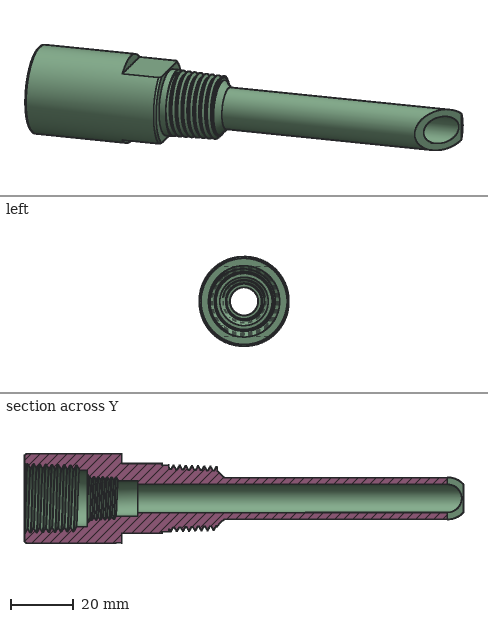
import math

import cadquery as cq

total_length = 139.7
body_length = 43.8
nipple_end = 63.5

body_diameter = 28.575
rear_chamfer = 0.6
front_chamfer_length = 0.7
front_chamfer_depth = 0.5
across_flats = 22.225
flat_length = 12.8

thread_pitch = 1.954
neck_diameter = 21.34
neck_length = 2.2
taper = 1 / 32
crest_diameter = 21.3
thread_depth = 1.25
ridge_base = 1.55
crest_flat = 0.15
first_crest = 44.55
nipple_turns = 9.25
overlap = 0.2

tube_diameter = 13.46
tube_bore = 8.89
cut_angle = 45.0
tip_offset = 5.1

socket_bore = 17.86
socket_mouth = 22.7
socket_depth = 20.0
socket_turns = 9
inner_bore = 11.12
inner_mouth = 15.4
inner_depth = 16.0
inner_turns = 7
inner_pitch = 1.411
countersink_angle = 60.0
groove_angle = 60.0
groove_fill = 0.95


def revolve(outline):
    """Turn a closed (axial, radial) outline about the X axis."""
    return cq.Workplane("XY").polyline(outline).close().revolve(360, (0, 0), (1, 0))


def cone(start, end, start_radius, end_radius):
    """Solid of revolution about X with a straight side."""
    return revolve([(start, 0), (start, start_radius), (end, end_radius), (end, 0)])


def cylinder(start, end, diameter):
    return cone(start, end, diameter / 2, diameter / 2)


def thread_coil(start, turns, pitch, radius, width, depth):
    """Right-handed V coil about X that starts on the -Z side and narrows along +X.

    The V is widest at the given radius and points outward; it also reaches inward by the overlap.
    """
    helix = cq.Wire.makeHelix(pitch, turns * pitch, radius, angle=-math.degrees(math.atan(taper)))
    profile = [
        (radius - overlap, -width / 2),
        (radius, -width / 2),
        (radius + depth, -crest_flat / 2),
        (radius + depth, crest_flat / 2),
        (radius, width / 2),
        (radius - overlap, width / 2),
    ]
    coil = cq.Workplane("XZ").polyline(profile).close().sweep(cq.Workplane(helix), isFrenet=True)
    return coil.rotate((0, 0, 0), (0, 1, 0), 90).translate((start, 0, 0))


def make_body():
    radius = body_diameter / 2
    outline = [
        (0, 0),
        (0, radius - rear_chamfer),
        (rear_chamfer, radius),
        (body_length - front_chamfer_length, radius),
        (body_length, radius - front_chamfer_depth),
        (body_length, 0),
    ]
    body = revolve(outline)
    for side in (1, -1):
        removed = cq.Workplane("XY").box(flat_length, body_diameter, body_diameter)
        offset = side * (across_flats + body_diameter) / 2
        body = body.cut(removed.translate((body_length - flat_length / 2, 0, offset)))
    return body


def make_nipple():
    root_radius = crest_diameter / 2 - thread_depth
    neck_end = body_length + neck_length
    end_radius = root_radius - taper * (nipple_end - first_crest)
    end_chamfer = end_radius - tube_diameter / 2
    chamfer_start = nipple_end - end_chamfer
    blank = cylinder(body_length, neck_end, neck_diameter)
    blank = blank.union(cone(body_length, chamfer_start, root_radius, end_radius))
    blank = blank.union(cone(chamfer_start, nipple_end, end_radius, tube_diameter / 2))
    coil = thread_coil(first_crest, nipple_turns, thread_pitch, root_radius, ridge_base, thread_depth)
    before_chamfer = cylinder(body_length, chamfer_start, body_diameter)
    return blank.union(coil.intersect(before_chamfer))


def make_tube():
    tube = cylinder(body_length, total_length, tube_diameter)
    reach = tip_offset + tube_diameter
    run = reach / math.tan(math.radians(cut_angle))
    corner = [
        (total_length, tip_offset),
        (total_length, tip_offset - reach),
        (total_length - run, tip_offset - reach),
    ]
    wedge = cq.Workplane("XY").polyline(corner).close().extrude(tube_diameter, both=True)
    return tube.cut(wedge)


def cut_female_thread(part, start, depth, bore, mouth, turns, pitch):
    """Countersunk tap drill hole with a tapered helical V groove."""
    bore_radius = bore / 2
    crest_radius = bore_radius + taper * turns * pitch
    groove_width = groove_fill * pitch
    groove_depth = (groove_width - crest_flat) / 2 / math.tan(math.radians(groove_angle / 2))
    mouth_radius = mouth / 2
    sink_depth = (mouth_radius - crest_radius) / math.tan(math.radians(countersink_angle))
    hole = [
        (start, 0),
        (start, mouth_radius),
        (start + sink_depth, crest_radius),
        (start + turns * pitch, bore_radius),
        (start + depth, bore_radius),
        (start + depth, 0),
    ]
    part = part.cut(thread_coil(start, turns, pitch, crest_radius, groove_width, groove_depth))
    return part.cut(revolve(hole))


result = make_body().union(make_nipple()).union(make_tube())
result = cut_female_thread(
    result, socket_depth, inner_depth, inner_bore, inner_mouth, inner_turns, inner_pitch)
result = cut_female_thread(
    result, 0, socket_depth, socket_bore, socket_mouth, socket_turns, thread_pitch)
result = result.cut(cylinder(0, total_length, tube_bore))